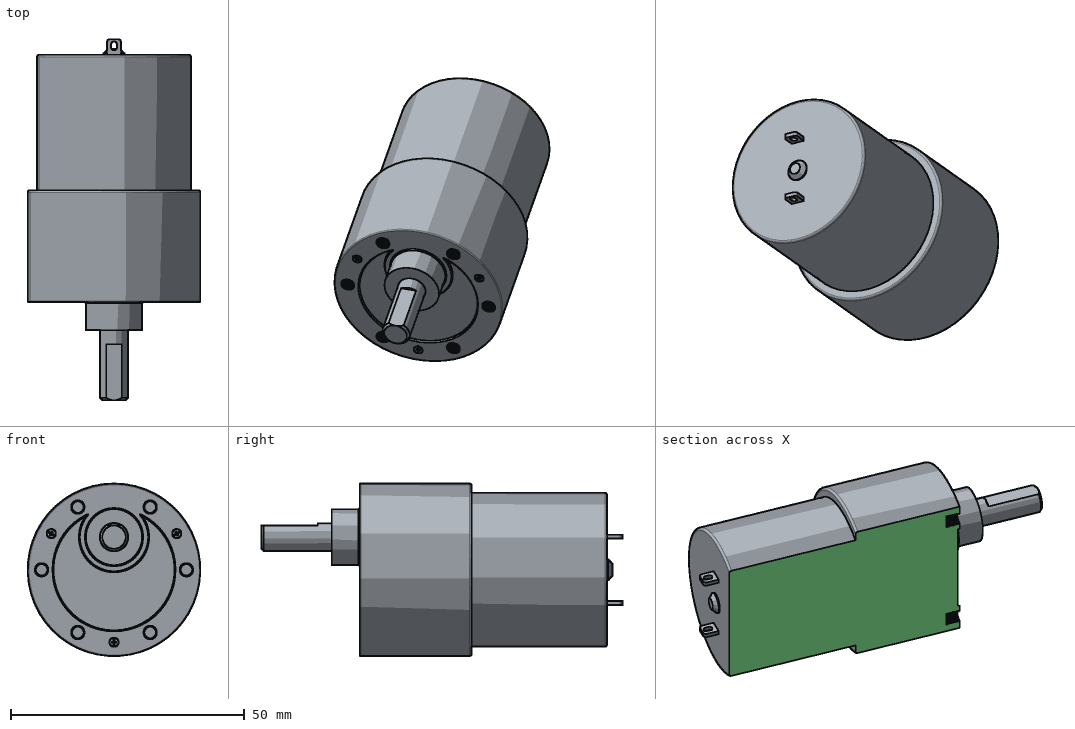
import cadquery as cq

gearbox_diameter = 37.0
gearbox_length = 24.0
gearbox_front_fillet = 0.25
gearbox_rear_fillet = 0.5

motor_diameter = 33.0
motor_length = 29.0
motor_fillet = 0.5
motor_rear_y = gearbox_length + motor_length

shaft_offset = 7.0
boss_diameter = 12.0
boss_length = 6.0
boss_root_flare = 0.25
shaft_diameter = 6.0
shaft_bore_diameter = 6.1
shaft_bore_depth = 1.0
shaft_length = 15.0
shaft_chamfer = 0.5
flat_length = 12.0
flat_depth = 0.5
shaft_tip_y = -(boss_length + shaft_length)

recess_diameter = 26.4
island_diameter = 14.6
recess_wall_spread = 0.25
recess_depth = 0.4
recess_tip_radius = 0.15

bolt_circle_radius = 15.5
mount_count = 6
thread_minor_diameter = 2.46
thread_major_diameter = 2.9
thread_pitch = 0.5
thread_turns = 6
screw_count = 3
screw_first_angle = 30.0
screw_hole_diameter = 2.0
screw_diameter = 1.9
screw_gap_depth = 0.4
screw_slot_width = 0.25
screw_slot_depth = 0.2
screw_cross_length = 0.9

cap_diameter = 4.51
cap_tip_diameter = 2.5
cap_rim_height = 0.25
cap_height = 1.2

terminal_spacing = 14.2
terminal_width = 3.0
terminal_thickness = 0.9
terminal_length = 3.3
terminal_corner_radius = 0.6
eyelet_width = 1.2
eyelet_length = 1.9
eyelet_center_from_tip = 1.45


def rod(diameter, start_y, length, z=0.0):
    """Cylinder along +Y whose near end lies at start_y."""
    start = cq.Vector(0, start_y, z)
    return cq.Workplane(cq.Solid.makeCylinder(diameter / 2, length, start, cq.Vector(0, 1, 0)))


def cone(start_diameter, end_diameter, start_y, length, z=0.0):
    """Truncated cone along +Y whose near end lies at start_y."""
    start = cq.Vector(0, start_y, z)
    solid = cq.Solid.makeCone(start_diameter / 2, end_diameter / 2, length, start, cq.Vector(0, 1, 0))
    return cq.Workplane(solid)


def make_gearbox():
    body = rod(gearbox_diameter, 0, gearbox_length)
    body = body.faces("<Y").edges().fillet(gearbox_front_fillet)
    return body.faces(">Y").edges().fillet(gearbox_rear_fillet)


def make_motor():
    can = rod(motor_diameter, gearbox_length, motor_length)
    return can.faces(">Y").edges().fillet(motor_fillet)


def make_output():
    """Boss with a flared root, and the D-shaped output shaft in a clearance bore."""
    boss = rod(boss_diameter, -boss_length, boss_length, shaft_offset)
    boss = boss.cut(rod(shaft_bore_diameter, -boss_length, shaft_bore_depth, shaft_offset))
    root_diameter = boss_diameter + 2 * boss_root_flare
    root = cone(boss_diameter, root_diameter, -boss_root_flare, boss_root_flare, shaft_offset)
    shaft = rod(shaft_diameter, shaft_tip_y, shaft_length + shaft_bore_depth, shaft_offset)
    shaft = shaft.faces("<Y").edges().chamfer(shaft_chamfer)
    flat_center_y = shaft_tip_y + flat_length / 2
    flat_center_z = shaft_offset + shaft_diameter / 2
    flat_cutter = cq.Workplane().box(shaft_diameter, flat_length, 2 * flat_depth)
    shaft = shaft.cut(flat_cutter.translate((0, flat_center_y, flat_center_z)))
    return boss.union(root).union(shaft)


def make_crescent():
    """Recess with sloping walls: it narrows toward its floor."""
    floor_diameter = recess_diameter - 2 * recess_wall_spread
    island_root_diameter = island_diameter + 2 * recess_wall_spread
    disc = cone(recess_diameter, floor_diameter, 0, recess_depth)
    island = cone(island_diameter, island_root_diameter, 0, recess_depth, shaft_offset)
    crescent = disc.cut(island)
    return crescent.edges("%ELLIPSE").fillet(recess_tip_radius)


def make_threaded_hole():
    """Hole along +Y from the front face with a ring-shaped V groove for each thread turn."""
    major_radius = thread_major_diameter / 2
    minor_radius = thread_minor_diameter / 2
    profile = cq.Workplane().moveTo(0, 0).lineTo(major_radius, 0)
    for turn in range(thread_turns):
        turn_y = turn * thread_pitch
        profile = profile.lineTo(minor_radius, turn_y + thread_pitch / 2)
        profile = profile.lineTo(major_radius, turn_y + thread_pitch)
    profile = profile.lineTo(0, thread_turns * thread_pitch).close()
    return profile.revolve(360, (0, 0, 0), (0, 1, 0))


def make_screw_cut():
    """Ring gap around a flush screw head, and its crossed slot with the long arm along X."""
    gap = rod(screw_hole_diameter, 0, screw_gap_depth).cut(rod(screw_diameter, 0, screw_gap_depth))
    long_slot = cq.Workplane().box(screw_diameter, screw_slot_depth, screw_slot_width)
    short_slot = cq.Workplane().box(screw_slot_width, screw_slot_depth, screw_cross_length)
    slots = long_slot.union(short_slot).translate((0, screw_slot_depth / 2, 0))
    return gap.union(slots)


def on_bolt_circle(cutter, count, first_angle):
    """Copies of a cutter spread evenly around the bolt circle, each turned to face outward."""
    copies = cq.Workplane()
    for index in range(count):
        angle = first_angle + index * 360 / count
        placed = cutter.translate((bolt_circle_radius, 0, 0))
        copies = copies.add(placed.rotate((0, 0, 0), (0, -1, 0), angle))
    return copies.combine()


def make_bearing_cap():
    rim = rod(cap_diameter, motor_rear_y, cap_rim_height)
    cone_height = cap_height - cap_rim_height
    tip = cone(cap_diameter, cap_tip_diameter, motor_rear_y + cap_rim_height, cone_height)
    return rim.union(tip)


def make_terminal(z):
    blade = cq.Workplane().box(terminal_width, terminal_length, terminal_thickness)
    blade = blade.faces(">Y").edges("|Z").fillet(terminal_corner_radius)
    eyelet_y = terminal_length / 2 - eyelet_center_from_tip
    eyelet = cq.Workplane().center(0, eyelet_y).slot2D(eyelet_length, eyelet_width, 90)
    blade = blade.cut(eyelet.extrude(terminal_thickness, both=True))
    return blade.translate((0, motor_rear_y + terminal_length / 2, z))


result = make_gearbox().cut(make_crescent()).union(make_motor()).union(make_output())
result = result.cut(on_bolt_circle(make_threaded_hole(), mount_count, 0))
result = result.cut(on_bolt_circle(make_screw_cut(), screw_count, screw_first_angle))
result = result.union(make_bearing_cap())
for side in (-1, 1):
    result = result.union(make_terminal(side * terminal_spacing / 2))